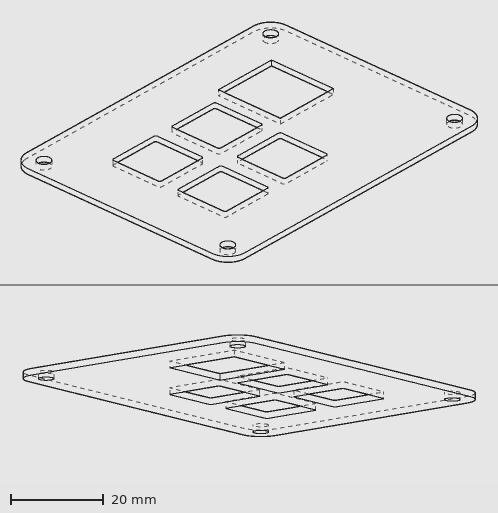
import cadquery as cq

plate_width = 63.5
plate_length = 82.7
plate_thickness = 1.5
corner_radius = 5.0

hole_diameter = 3.4
hole_spacing_x = plate_width - 2 * corner_radius
hole_spacing_y = plate_length - 2 * corner_radius

key_size = 14.0
key_pitch = 19.0
key_corner_radius = 0.4
key_grid_x = 0.4
key_grid_y = -9.8

window_width = 18.0
window_length = 17.0
window_x = -10.1
window_y = 19.7


def make_plate():
    """Flat plate with rounded corners, centred on the origin in X and Y."""
    plate = cq.Workplane("XY").rect(plate_width, plate_length).extrude(plate_thickness)
    return plate.edges("|Z").fillet(corner_radius)


def mounting_holes():
    """Through-hole cutters at the four corners."""
    corners = cq.Workplane("XY").rect(hole_spacing_x, hole_spacing_y, forConstruction=True).vertices()
    return corners.circle(hole_diameter / 2).extrude(plate_thickness)


def key_openings():
    """Cutters for the four key openings with slightly rounded corners."""
    grid = cq.Workplane("XY").center(key_grid_x, key_grid_y).rarray(key_pitch, key_pitch, 2, 2)
    return grid.rect(key_size, key_size).extrude(plate_thickness).edges("|Z").fillet(key_corner_radius)


def window_opening():
    """Cutter for the sharp-cornered window."""
    outline = cq.Workplane("XY").center(window_x, window_y).rect(window_width, window_length)
    return outline.extrude(plate_thickness)


result = make_plate().cut(mounting_holes()).cut(key_openings()).cut(window_opening())